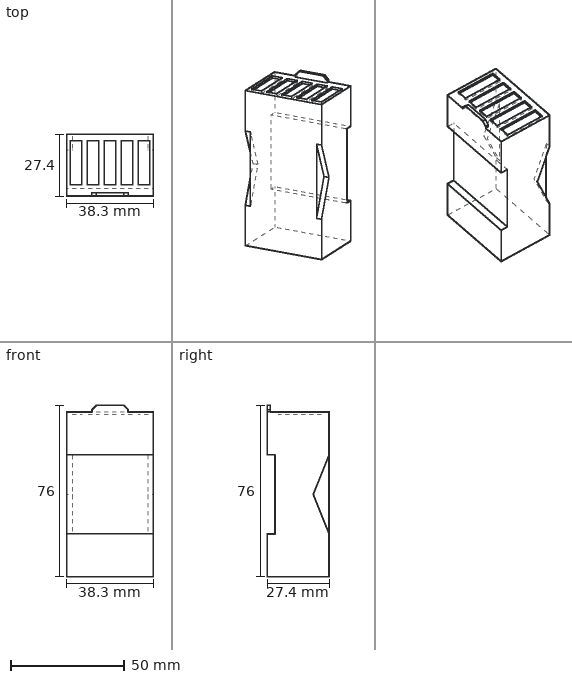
import cadquery as cq

width = 38.3
depth = 27.4
total_height = 76.0
tab_height = 3.0
body_height = total_height - tab_height
mid_height = body_height / 2

rail_height = 34.95
rail_depth = 3.5

notch_reach = 7.0
notch_depth = 2.5

pocket_count = 5
pocket_pitch = 7.5
pocket_width = 5.0
pocket_back_margin = 3.0
pocket_front_margin = 5.0
pocket_length = depth - pocket_back_margin - pocket_front_margin
pocket_depth = 1.0

tab_width = 16.0
tab_thickness = 1.5
tab_bevel = 2.0

front_y = -depth / 2
back_y = depth / 2


def make_body():
    """Block with the rail channel across its front."""
    block = cq.Workplane("XY").box(width, depth, body_height, centered=(True, True, False))
    channel = (
        cq.Workplane("XY")
        .box(width, rail_depth, rail_height, centered=(True, False, True))
        .translate((0, front_y, mid_height))
    )
    return block.cut(channel)


def make_notch(start_x):
    """Triangular prism running along +X from start_x, with its point toward the front."""
    return (
        cq.Workplane("YZ", origin=(start_x, 0, mid_height))
        .moveTo(back_y, rail_height / 2)
        .lineTo(back_y - notch_reach, 0)
        .lineTo(back_y, -rail_height / 2)
        .close()
        .extrude(notch_depth)
    )


def make_pockets():
    """Cutters for the evenly spaced pockets in the top face."""
    center_y = (pocket_front_margin - pocket_back_margin) / 2
    return (
        cq.Workplane("XY", origin=(0, center_y, body_height))
        .rarray(pocket_pitch, 0.75, pocket_count, 1)
        .rect(pocket_width, pocket_length)
        .extrude(-pocket_depth)
    )


def make_tab():
    """Thin plate with both upper corners bevelled."""
    return (
        cq.Workplane("XY", origin=(0, front_y, body_height))
        .box(tab_width, tab_thickness, tab_height, centered=(True, False, False))
        .edges("|Y and >Z")
        .chamfer(tab_bevel)
    )


result = make_body().cut(make_pockets())
for notch_start in (-width / 2, width / 2 - notch_depth):
    result = result.cut(make_notch(notch_start))
result = result.union(make_tab())